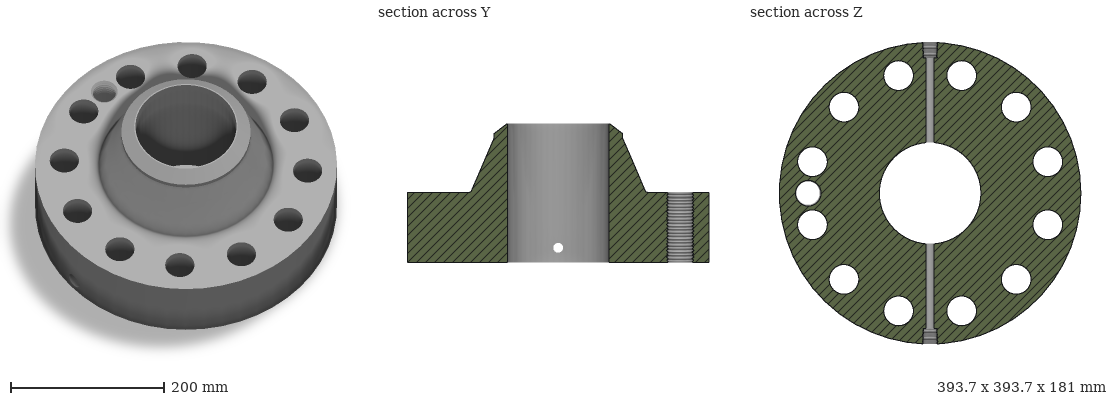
import cadquery as cq
import math


inch = 25.4

plate_diameter = 393.7
plate_thickness = 92.1

total_height = 180.97
hub_base_diameter = 228.6
hub_fillet_radius = 2.5
pipe_diameter = 168.3
bore_diameter = 131.8
collar_height = 6.0
weld_land = 1.6
weld_bevel_angle = 37.5

bolt_circle_diameter = 317.5
bolt_hole_diameter = 38.1
bolt_hole_count = 12

jack_major_diameter = 34.9
jack_minor_diameter = 30.4
jack_pitch = inch / 6

tap_height = 19.05
tap_hole_diameter = 12.7
tap_major_diameter = 21.3
tap_pitch = inch / 14
tap_thread_depth = 1.45
tap_thread_length = 20.0
tap_taper = 1 / 32
tap_directions = (-1, 1)


def flange_body():
    """Plate, conical hub and bevelled weld end, with the bore left open."""
    bore_radius = bore_diameter / 2
    plate_radius = plate_diameter / 2
    pipe_radius = pipe_diameter / 2
    land_radius = bore_radius + weld_land
    bevel_height = (pipe_radius - land_radius) * math.tan(math.radians(weld_bevel_angle))
    bevel_base = total_height - bevel_height
    collar_base = bevel_base - collar_height

    cone_run = hub_base_diameter / 2 - pipe_radius
    cone_rise = collar_base - plate_thickness
    cone_angle = math.atan2(cone_rise, cone_run)
    tangent_length = hub_fillet_radius * math.tan(cone_angle / 2)
    hub_base_radius = hub_base_diameter / 2
    fillet_outer = (hub_base_radius + tangent_length, plate_thickness)
    fillet_upper = (
        hub_base_radius - tangent_length * math.cos(cone_angle),
        plate_thickness + tangent_length * math.sin(cone_angle),
    )
    fillet_middle = (
        fillet_outer[0] - hub_fillet_radius * math.sin(cone_angle / 2),
        plate_thickness + hub_fillet_radius * (1 - math.cos(cone_angle / 2)),
    )

    return (
        cq.Workplane("XZ")
        .moveTo(bore_radius, 0)
        .lineTo(plate_radius, 0)
        .lineTo(plate_radius, plate_thickness)
        .lineTo(*fillet_outer)
        .threePointArc(fillet_middle, fillet_upper)
        .lineTo(pipe_radius, collar_base)
        .lineTo(pipe_radius, bevel_base)
        .lineTo(land_radius, total_height)
        .lineTo(bore_radius, total_height)
        .close()
        .revolve(360, (0, 0, 0), (0, 1, 0))
    )


def bolt_holes():
    """Bolt holes straddling the X and Y axes."""
    half_step = 180 / bolt_hole_count
    return (
        cq.Workplane("XY")
        .polarArray(bolt_circle_diameter / 2, half_step, 360, bolt_hole_count)
        .circle(bolt_hole_diameter / 2)
        .extrude(plate_thickness)
    )


def thread_cutter(major_radius, thread_depth, pitch, turn_count, taper=0.0):
    """Solid of revolution along +Z with V-shaped annular thread ridges."""
    points = [(0, 0)]
    for turn in range(turn_count):
        start = turn * pitch
        middle = start + pitch / 2
        points.append((major_radius - taper * start, start))
        points.append((major_radius - thread_depth - taper * middle, middle))
    end = turn_count * pitch
    points.append((major_radius - taper * end, end))
    points.append((0, end))
    return cq.Workplane("XZ").polyline(points).close().revolve(360, (0, 0, 0), (0, 1, 0))


def jack_screw_hole():
    """Threaded through hole on the bolt circle, on the -X side."""
    turn_count = math.ceil(plate_thickness / jack_pitch)
    thread_depth = (jack_major_diameter - jack_minor_diameter) / 2
    cutter = thread_cutter(jack_major_diameter / 2, thread_depth, jack_pitch, turn_count)
    thread_start = plate_thickness - turn_count * jack_pitch
    return cutter.translate((-bolt_circle_diameter / 2, 0, thread_start))


def pressure_tap(direction):
    """Tapered threaded mouth at the rim and a plain hole into the bore."""
    rim_radius = plate_diameter / 2
    turn_count = round(tap_thread_length / tap_pitch)
    thread = thread_cutter(
        tap_major_diameter / 2, tap_thread_depth, tap_pitch, turn_count, tap_taper
    )
    plain_hole = cq.Workplane("XY").circle(tap_hole_diameter / 2).extrude(rim_radius)
    return (
        thread.union(plain_hole)
        .rotate((0, 0, 0), (1, 0, 0), 90 * direction)
        .translate((0, direction * rim_radius, tap_height))
    )


result = flange_body().cut(bolt_holes()).cut(jack_screw_hole())
for tap_direction in tap_directions:
    result = result.cut(pressure_tap(tap_direction))